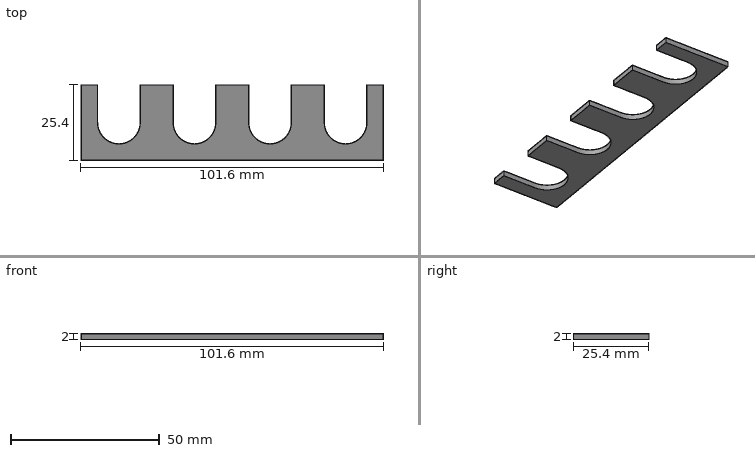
import cadquery as cq

pitch = 25.4
slot_count = 4
slot_width = 14.224
thickness = 2.0

plate_length = slot_count * pitch
plate_depth = pitch
slot_radius = slot_width / 2
slot_center_y = plate_depth / 2


def make_plate():
    """Flat rectangular plate with one corner at the origin."""
    return cq.Workplane("XY").box(plate_length, plate_depth, thickness, centered=False)


def make_slot(center_x):
    """Round-bottomed slot that runs out through the +Y edge."""
    left_x = center_x - slot_radius
    right_x = center_x + slot_radius
    return (
        cq.Workplane("XY")
        .moveTo(left_x, plate_depth)
        .lineTo(left_x, slot_center_y)
        .threePointArc((center_x, slot_center_y - slot_radius), (right_x, slot_center_y))
        .lineTo(right_x, plate_depth)
        .close()
        .extrude(thickness)
    )


result = make_plate()
for index in range(slot_count):
    slot_center_x = pitch / 2 + index * pitch
    result = result.cut(make_slot(slot_center_x))